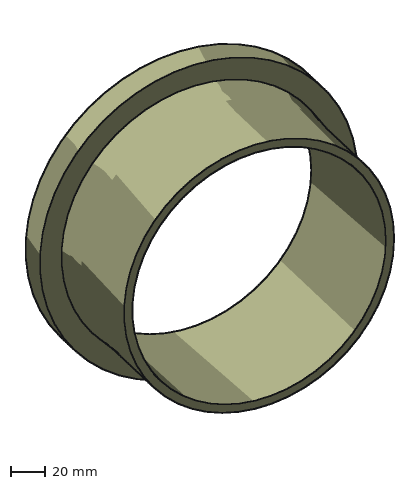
import cadquery as cq

flange_diameter = 212.0
flange_thickness = 17.8
taper_start_diameter = 183.2
taper_length = 21.5
pipe_diameter = 180.2
bore_diameter = 169.0
total_length = 92.0

taper_end = flange_thickness + taper_length

half_section = (
    cq.Workplane("XY")
    .moveTo(0, bore_diameter / 2)
    .lineTo(0, flange_diameter / 2)
    .lineTo(flange_thickness, flange_diameter / 2)
    .lineTo(flange_thickness, taper_start_diameter / 2)
    .lineTo(taper_end, pipe_diameter / 2)
    .lineTo(total_length, pipe_diameter / 2)
    .lineTo(total_length, bore_diameter / 2)
    .close()
)

collar = half_section.revolve(360, (0, 0, 0), (1, 0, 0))

result = collar.translate((-total_length / 2, 0, 0))